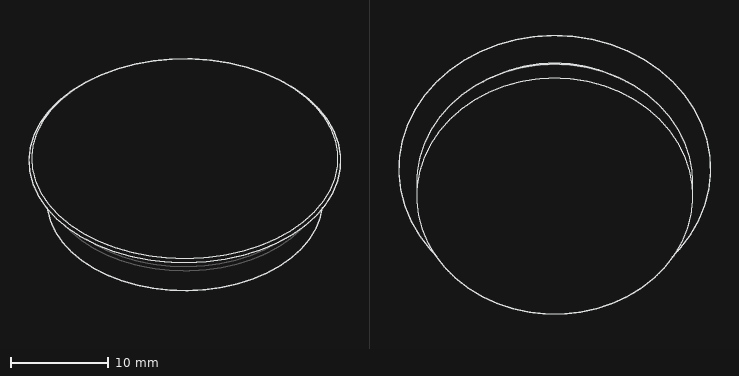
import cadquery as cq

cap_diameter = 32.0
neck_diameter = 25.4
plug_diameter = 28.3
total_height = 9.0
plug_height = 3.0
neck_height = 2.4
rim_chamfer = 0.3
plug_fillet = 0.3

cap_radius = cap_diameter / 2
cap_base_z = plug_height + neck_height
dome_edge_radius = cap_radius - rim_chamfer
dome_edge_z = cap_base_z + rim_chamfer
dome_rise = total_height - dome_edge_z
dome_sphere_radius = (dome_edge_radius**2 + dome_rise**2) / (2 * dome_rise)


def dome_height_at(radius):
    """Height of the spherical dome surface at a distance from the axis."""
    center_z = total_height - dome_sphere_radius
    return center_z + (dome_sphere_radius**2 - radius**2) ** 0.5


def make_plug():
    """Disc at the bottom, with its upper edge rounded."""
    disc = cq.Workplane("XY").circle(plug_diameter / 2).extrude(plug_height)
    return disc.faces(">Z").edges().fillet(plug_fillet)


def make_neck():
    """Narrower cylinder that joins the plug to the cap."""
    return cq.Workplane("XY").workplane(offset=plug_height).circle(neck_diameter / 2).extrude(neck_height)


def make_cap():
    """Domed cap with a chamfered rim, revolved about Z."""
    dome_mid_radius = dome_edge_radius / 2
    return (
        cq.Workplane("XZ")
        .moveTo(0, cap_base_z)
        .lineTo(cap_radius, cap_base_z)
        .lineTo(dome_edge_radius, dome_edge_z)
        .threePointArc((dome_mid_radius, dome_height_at(dome_mid_radius)), (0, total_height))
        .close()
        .revolve(360, (0, 0, 0), (0, 1, 0))
    )


result = make_plug().union(make_neck()).union(make_cap())